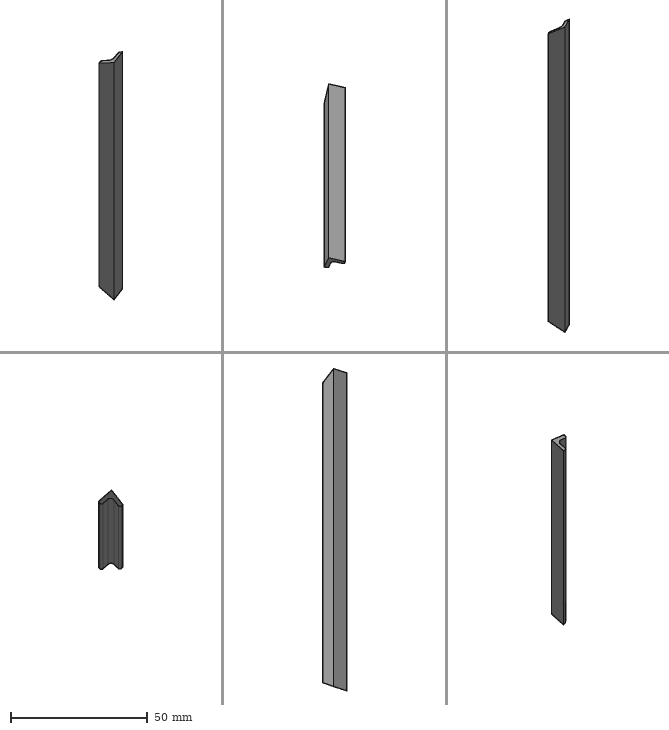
import cadquery as cq
import math

length = 127.0
leg = 6.4
thickness = leg / 4
root_radius = 1.5
tip_radius = 0.8
miter_angle = 30.0

half_leg = leg / 2
half_length = length / 2
inner_face = half_leg - thickness
miter_drop = leg * math.tan(math.radians(miter_angle))


def angle_bar():
    """L-section with its outer corner at +X, -Y, extruded along Z."""
    bar = (
        cq.Workplane("XY")
        .workplane(offset=-half_length)
        .moveTo(-half_leg, -half_leg)
        .lineTo(half_leg, -half_leg)
        .lineTo(half_leg, half_leg)
        .lineTo(inner_face, half_leg)
        .lineTo(inner_face, -inner_face)
        .lineTo(-half_leg, -inner_face)
        .close()
        .extrude(length)
    )

    def upright_edge(x, y):
        return cq.selectors.NearestToPointSelector((x, y, 0))

    bar = bar.edges(upright_edge(inner_face, -inner_face)).fillet(root_radius)
    bar = bar.edges(upright_edge(inner_face, half_leg)).fillet(tip_radius)
    return bar.edges(upright_edge(-half_leg, -inner_face)).fillet(tip_radius)


def miter_envelope():
    """Trapezoid in XZ: full length on +X, shortened at both ends on -X."""
    short_half = half_length - miter_drop
    return (
        cq.Workplane("XZ")
        .polyline([
            (half_leg, -half_length),
            (half_leg, half_length),
            (-half_leg, short_half),
            (-half_leg, -short_half),
        ])
        .close()
        .extrude(half_leg, both=True)
    )


result = angle_bar().intersect(miter_envelope())